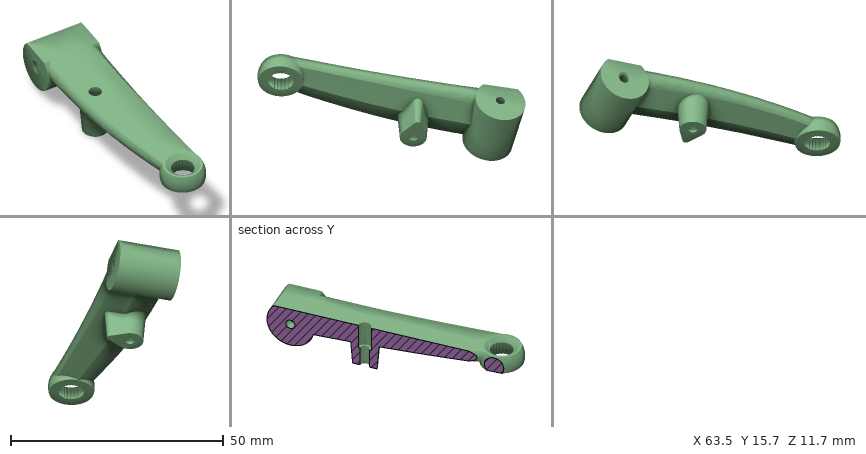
import cadquery as cq
import math

hub_radius = 6.0
hub_width = 14.85
total_length = 63.5

ring_radius = 5.5
ring_x = total_length - hub_radius - ring_radius
ring_y = 2.8
ring_z = 1.95
ring_bottom_z = 0.4
ring_bottom_slope = 0.033

top_z = 4.4
top_slope = 0.0075

arm_start_x = 1.3
arm_end_x = 51.4
arm_station_count = 6
front_edge_y = -7.3
front_edge_x = 8.9
front_edge_curve = 0.003466
back_edge_y = 6.9
back_edge_x = 22.85
back_edge_curve = 0.001134
keel_z = -2.5
keel_rise = 0.059
underside_slope = 0.34
start_bulge = 1.95
end_bulge = 0.5
bulge_fade = 1.5

post_x = 19.0
post_y = -2.1
post_bottom_z = -6.9
post_root_z = 1.3
post_radius = 3.2
post_tip_radius = 0.8
post_tip_distance = 4.75
post_draft = 4.6

screw_diameter = 2.2
counterbore_diameter = 3.2
countersink_diameter = 3.2
counterbore_depth = 6.35

spline_teeth = 24
spline_root_radius = 3.05
spline_tip_radius = 2.8
funnel_radius = 4.1
funnel_depth = 1.1

margin = 3.2


def top_height(x):
    return top_z + top_slope * x


def above_top():
    """Everything above the sloping top face."""
    left = -hub_radius - margin
    right = total_length
    ceiling = top_z + hub_radius
    outline = [(left, top_height(left)), (right, top_height(right)), (right, ceiling), (left, ceiling)]
    return cq.Workplane("XZ").polyline(outline).close().extrude(2 * hub_width, both=True)


def hub():
    return cq.Workplane("XZ").circle(hub_radius).extrude(hub_width / 2, both=True)


def ring():
    sphere = cq.Workplane("XY").sphere(ring_radius).translate((ring_x, ring_y, ring_z))
    drop = ring_bottom_slope * 2 * ring_radius
    left = ring_x - 2 * ring_radius
    right = ring_x + 2 * ring_radius
    floor = ring_z - 2 * ring_radius
    outline = [(left, ring_bottom_z - drop), (right, ring_bottom_z + drop), (right, floor), (left, floor)]
    return sphere.cut(cq.Workplane("XZ").polyline(outline).close().extrude(2 * hub_width, both=True))


def arm_section(x):
    """Cross-section with a flat top, sides that bulge outwards and a shallow V underneath."""
    remaining = max(0.0, arm_end_x - x) / (arm_end_x - arm_start_x)
    bulge = end_bulge + (start_bulge - end_bulge) * remaining**bulge_fade
    front = front_edge_y + front_edge_curve * max(0.0, x - front_edge_x) ** 2
    back = back_edge_y + back_edge_curve * (x - back_edge_x) ** 2
    front_corner = front + bulge
    back_corner = back - bulge
    keel_y = (front + back) / 2
    keel = keel_z + keel_rise * x
    top = top_height(x)
    bottom = keel + underside_slope * (back_corner - keel_y)
    middle = (top + bottom) / 2
    return (
        cq.Workplane("YZ", origin=(x, 0, 0))
        .moveTo(front_corner, top)
        .lineTo(back_corner, top)
        .threePointArc((back, middle), (back_corner, bottom))
        .lineTo(keel_y, keel)
        .lineTo(front_corner, bottom)
        .threePointArc((front, middle), (front_corner, top))
        .close()
        .val()
    )


def arm():
    step = (arm_end_x - arm_start_x) / (arm_station_count - 1)
    sections = [arm_section(arm_start_x + i * step) for i in range(arm_station_count)]
    return cq.Workplane(obj=cq.Solid.makeLoft(sections))


def post():
    sine = (post_radius - post_tip_radius) / post_tip_distance
    cosine = math.sqrt(1 - sine**2)
    return (
        cq.Workplane("XY", origin=(post_x, post_y, post_bottom_z))
        .moveTo(post_radius * cosine, post_radius * sine)
        .threePointArc((0, -post_radius), (-post_radius * cosine, post_radius * sine))
        .lineTo(-post_tip_radius * cosine, post_tip_distance + post_tip_radius * sine)
        .threePointArc(
            (0, post_tip_distance + post_tip_radius),
            (post_tip_radius * cosine, post_tip_distance + post_tip_radius * sine),
        )
        .close()
        .extrude(post_root_z - post_bottom_z, taper=-post_draft)
    )


def hub_hole():
    """Cross hole along the barrel axis, countersunk at 45 degrees on the -Y end."""
    face = cq.Workplane("XZ", origin=(0, -hub_width / 2, 0))
    through = face.circle(screw_diameter / 2).extrude(-hub_width)
    countersink_depth = (countersink_diameter - screw_diameter) / 2
    countersink = (
        face.circle(countersink_diameter / 2)
        .workplane(offset=-countersink_depth)
        .circle(screw_diameter / 2)
        .loft()
    )
    return through.union(countersink)


def post_hole():
    """Vertical hole through arm and post, counterbored from the top face."""
    bottom = cq.Workplane("XY", origin=(post_x, post_y, post_bottom_z))
    through = bottom.circle(screw_diameter / 2).extrude(top_z - post_bottom_z + margin)
    seat_z = top_height(post_x) - counterbore_depth
    seat = cq.Workplane("XY", origin=(post_x, post_y, seat_z))
    counterbore = seat.circle(counterbore_diameter / 2).extrude(counterbore_depth + margin)
    return through.union(counterbore)


def splined_bore():
    """Funnel mouth above a toothed bore that runs through the ring."""
    half_pitch = math.pi / spline_teeth
    points = []
    for i in range(2 * spline_teeth):
        radius = spline_root_radius if i % 2 == 0 else spline_tip_radius
        points.append((radius * math.cos(i * half_pitch), radius * math.sin(i * half_pitch)))
    bore_bottom_z = ring_bottom_z - margin
    funnel_bottom_z = top_height(ring_x) - funnel_depth
    bore = (
        cq.Workplane("XY", origin=(ring_x, ring_y, bore_bottom_z))
        .polyline(points)
        .close()
        .extrude(funnel_bottom_z - bore_bottom_z)
    )
    flare = (funnel_radius - spline_tip_radius) / funnel_depth
    funnel = (
        cq.Workplane("XY", origin=(ring_x, ring_y, funnel_bottom_z))
        .circle(spline_tip_radius)
        .workplane(offset=funnel_depth + margin)
        .circle(funnel_radius + flare * margin)
        .loft()
    )
    return bore.union(funnel)


body = hub().union(arm()).union(ring()).union(post()).cut(above_top())
result = body.cut(hub_hole()).cut(post_hole()).cut(splined_bore())